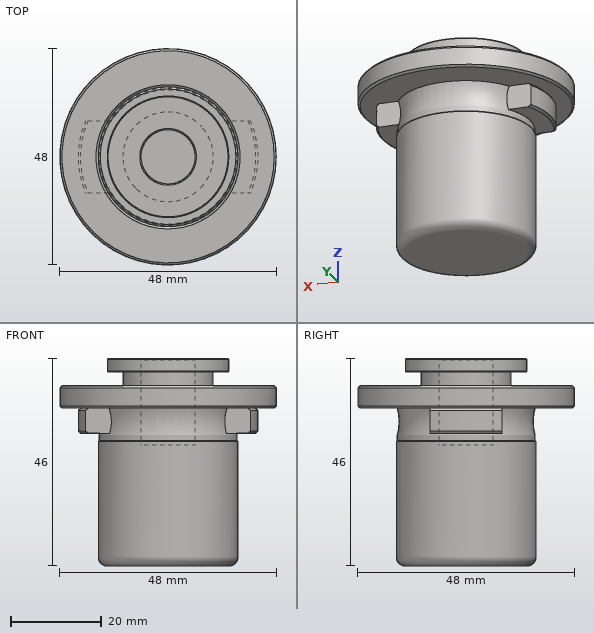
import cadquery as cq

flange_radius = 24.0
flange_thickness = 5.0
flange_chamfer = 0.5
total_height = 46.0

head_radius = 13.5
head_thickness = 3.0
head_chamfer = 0.2
neck_radius = 10.0
neck_height = 3.0

groove_radius = 15.5
groove_depth = 0.5

body_radius = 15.5
body_fillet = 2.0
collar_radius = 15.3
collar_height = 1.2
collar_chamfer = body_radius - collar_radius
waist_radius = 14.9
waist_height = 6.0

lug_radius = 19.9
lug_width = 15.95
lug_height = 5.55
lug_chamfer = 0.5

bore_radius = 6.0
bore_depth = 19.2
bore_chamfer = 0.3

head_bottom = total_height - head_thickness
flange_top = head_bottom - neck_height
flange_bottom = flange_top - flange_thickness
waist_middle = flange_bottom - waist_height / 2
waist_bottom = flange_bottom - waist_height
collar_bottom = waist_bottom - collar_height


def disc(radius, bottom, height):
    return cq.Workplane("XY").workplane(offset=bottom).circle(radius).extrude(height)


def make_body():
    """Revolved barrel with a concave waist directly under the flange."""
    profile = (
        cq.Workplane("XZ")
        .moveTo(0, 0)
        .lineTo(body_radius, 0)
        .lineTo(body_radius, collar_bottom - collar_chamfer)
        .lineTo(collar_radius, collar_bottom)
        .lineTo(collar_radius, waist_bottom)
        .threePointArc((waist_radius, waist_middle), (collar_radius, flange_bottom))
        .lineTo(0, flange_bottom)
        .close()
    )
    return profile.revolve(360, (0, 0, 0), (0, 1, 0)).faces("<Z").edges().fillet(body_fillet)


def make_flange():
    flange = disc(flange_radius, flange_bottom, flange_thickness).edges().chamfer(flange_chamfer)
    groove = (
        cq.Workplane("XZ")
        .moveTo(groove_radius - groove_depth, flange_top)
        .lineTo(groove_radius, flange_top - groove_depth)
        .lineTo(groove_radius + groove_depth, flange_top)
        .close()
        .revolve(360, (0, 0, 0), (0, 1, 0))
    )
    return flange.cut(groove)


def make_lugs():
    """Two opposite lugs: a chamfered disc trimmed to a bar along X."""
    lug_bottom = flange_bottom - lug_height
    lug_disc = disc(lug_radius, lug_bottom, lug_height).edges().chamfer(lug_chamfer)
    bar = (
        cq.Workplane("XY")
        .workplane(offset=lug_bottom)
        .rect(2 * lug_radius, lug_width)
        .extrude(lug_height)
    )
    return lug_disc.intersect(bar)


def make_head():
    neck = disc(neck_radius, flange_top, neck_height)
    head = disc(head_radius, head_bottom, head_thickness).edges().chamfer(head_chamfer)
    return neck.union(head)


def make_bore():
    bore = disc(bore_radius, total_height - bore_depth, bore_depth)
    countersink = (
        cq.Workplane("XY")
        .workplane(offset=total_height)
        .circle(bore_radius + bore_chamfer)
        .workplane(offset=-bore_chamfer)
        .circle(bore_radius)
        .loft()
    )
    return bore.union(countersink)


result = (
    make_body()
    .union(make_flange())
    .union(make_lugs())
    .union(make_head())
    .cut(make_bore())
)